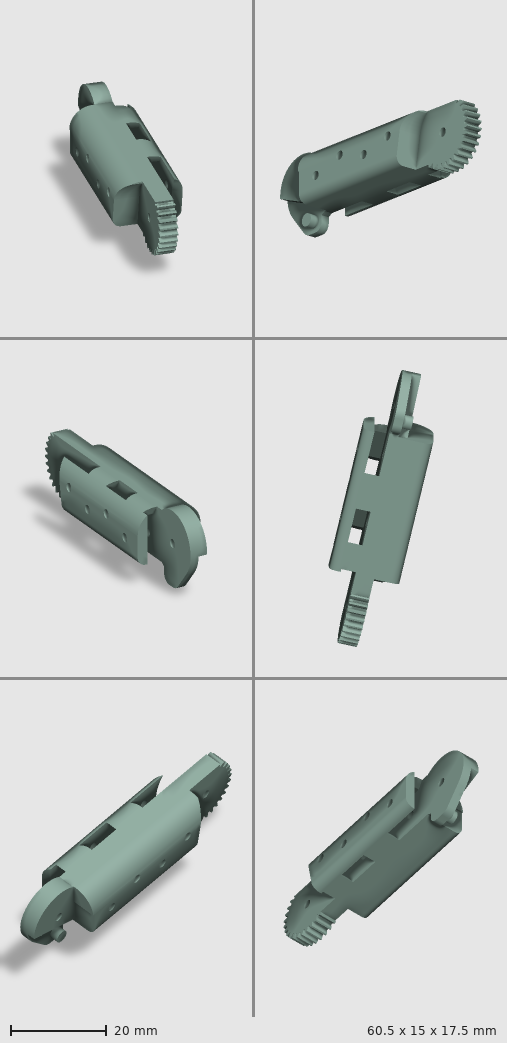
import cadquery as cq
import math


END_RADIUS = 7.5
PIVOT_SPACING = 45.0
PLATE_THICKNESS = 4.0
BAR_HEIGHT = 12.0
HOLE_DIAMETER = 2.0

GEAR_TEETH = 30
GEAR_TIP_RADIUS = 8.0
GEAR_PITCH_RADIUS = 7.5
GEAR_ROOT_RADIUS = 6.9
TOOTH_SINK = 0.25
FIRST_TOOTH_ANGLE = -123.7
SECTOR_TEETH = 16
TIP_HALF_ANGLE = 1.3
PITCH_HALF_ANGLE = 2.9
ROOT_HALF_ANGLE = 4.2

HOUSING_WIDTH = 15.0
TOP_ROUND = 5.0
BOTTOM_ROUND = 2.0
HOUSING_START = 5.0
UPPER_START = 4.65
END_CLEARANCE = 7.5
END_SETBACK = 5.0
END_TILT = 10

OUTER_WALL = 2.35
BRIDGE_HEIGHT = 2.0
BRIDGE_LENGTH = 8.0
BRIDGE_FLANK_TILT = 30
LAST_BRIDGE_END = 35.7
FIRST_GUIDE_X = 10.4
GUIDE_PITCH = 7.75
GUIDE_HEIGHTS = [-1.45, 0.95, -1.0, 0.95]

LUG_BOTTOM = -10.0
LUG_RIGHT = 3.5
LUG_SLOPE = 50
LUG_SLOPE_ROUND = 2.5
LUG_RIGHT_ROUND = 2.0
STEP_OFFSET = 3
STEP_TILT = 20
PIN_X = 0.95
PIN_Z = -7.45
PIN_RADIUS = 1.45

bar_half = BAR_HEIGHT / 2
plate_half = PLATE_THICKNESS / 2
housing_half = HOUSING_WIDTH / 2
channel_outer = housing_half - OUTER_WALL
channel_half_height = bar_half - BRIDGE_HEIGHT
guide_centers = [(FIRST_GUIDE_X + i * GUIDE_PITCH, z) for i, z in enumerate(GUIDE_HEIGHTS)]


def polar(radius, degrees):
    angle = math.radians(degrees)
    return radius * math.cos(angle), radius * math.sin(angle)


def extrude_y(outline, y_low, y_high):
    """Extrude an XZ outline from y_low to y_high."""
    return outline.extrude(y_low - y_high).translate((0, y_low, 0))


def cylinder(x, z, radius, y_low, y_high):
    return extrude_y(cq.Workplane("XZ").center(x, z).circle(radius), y_low, y_high)


def prism(points, y_low, y_high):
    return extrude_y(cq.Workplane("XZ").polyline(points).close(), y_low, y_high)


def box(x_range, y_range, z_range):
    """Box given by its (low, high) limits on each axis."""
    low, high = zip(x_range, y_range, z_range)
    size = [b - a for a, b in zip(low, high)]
    return cq.Workplane("XY").box(*size, centered=False).translate(low)


def bar():
    middle = box((0, PIVOT_SPACING), (-plate_half, plate_half), (-bar_half, bar_half))
    return middle.union(cylinder(0, 0, END_RADIUS, -plate_half, plate_half))


def gear_sector():
    """Toothed disc, cut level with the top of the bar."""
    gear = cylinder(0, 0, GEAR_ROOT_RADIUS, -plate_half, plate_half)
    flank = [
        (GEAR_ROOT_RADIUS - TOOTH_SINK, ROOT_HALF_ANGLE),
        (GEAR_ROOT_RADIUS, ROOT_HALF_ANGLE),
        (GEAR_PITCH_RADIUS, PITCH_HALF_ANGLE),
        (GEAR_TIP_RADIUS, TIP_HALF_ANGLE),
    ]
    for i in range(SECTOR_TEETH):
        angle = FIRST_TOOTH_ANGLE + i * 360 / GEAR_TEETH
        lower = [polar(radius, angle - half) for radius, half in flank]
        upper = [polar(radius, angle + half) for radius, half in reversed(flank)]
        gear = gear.union(prism(lower + upper, -plate_half, plate_half))
    reach = (-GEAR_TIP_RADIUS, GEAR_TIP_RADIUS)
    above_bar = box(reach, reach, (bar_half, GEAR_TIP_RADIUS))
    return gear.cut(above_bar).translate((PIVOT_SPACING, 0, 0))


def lug():
    """Arm below the rounded end; its sloping side is tangent to the end radius."""
    tangent_x, tangent_z = polar(END_RADIUS, 270 - LUG_SLOPE)
    corner_x = tangent_x + (tangent_z - LUG_BOTTOM) / math.tan(math.radians(LUG_SLOPE))
    outline = [
        (0, 0),
        (tangent_x, tangent_z),
        (corner_x, LUG_BOTTOM),
        (LUG_RIGHT, LUG_BOTTOM),
        (LUG_RIGHT, 0),
    ]
    arm = prism(outline, -plate_half, plate_half)
    for x, radius in [(corner_x, LUG_SLOPE_ROUND), (LUG_RIGHT, LUG_RIGHT_ROUND)]:
        corner = cq.selectors.NearestToPointSelector((x, 0, LUG_BOTTOM))
        arm = arm.edges(corner).fillet(radius)
    return arm


def lug_step():
    """Material removed from the -Y half of the rounded end and lug, below a tilted line."""
    tilt = math.radians(STEP_TILT)

    def step_z(x):
        return -STEP_OFFSET / math.cos(tilt) - x * math.tan(tilt)

    left = -2 * END_RADIUS
    below = 2 * LUG_BOTTOM
    outline = [
        (left, step_z(left)),
        (HOUSING_START, step_z(HOUSING_START)),
        (HOUSING_START, below),
        (left, below),
    ]
    return prism(outline, -plate_half, 0)


def housing_blank():
    """Rounded housing, swept back at the gear end to clear a disc on the second pivot."""
    length = (UPPER_START, PIVOT_SPACING)
    blank = box(length, (-housing_half, housing_half), (-bar_half, bar_half))
    blank = blank.edges("|X and >Z").fillet(TOP_ROUND)
    blank = blank.edges("|X and <Z").fillet(BOTTOM_ROUND)

    start_trim = (UPPER_START, HOUSING_START)
    lower_trim = box(start_trim, (-housing_half, 0), (-bar_half, bar_half - TOP_ROUND))
    back_trim = box(start_trim, (0, housing_half), (-bar_half, bar_half))

    arc_top_x = -END_SETBACK
    arc_top_z = math.sqrt(END_CLEARANCE**2 - END_SETBACK**2)
    arc_top_angle = math.degrees(math.acos(arc_top_x / END_CLEARANCE))
    arc_middle = polar(END_CLEARANCE, (arc_top_angle + 180 - END_TILT) / 2)
    tangent_x, tangent_z = polar(END_CLEARANCE, 180 - END_TILT)
    foot_x = tangent_x - (tangent_z + bar_half) * math.tan(math.radians(END_TILT))
    end_outline = (
        cq.Workplane("XZ")
        .moveTo(arc_top_x, bar_half)
        .lineTo(arc_top_x, arc_top_z)
        .threePointArc(arc_middle, (tangent_x, tangent_z))
        .lineTo(foot_x, -bar_half)
        .lineTo(0, -bar_half)
        .lineTo(0, bar_half)
        .close()
    )
    end_trim = extrude_y(end_outline, -housing_half, housing_half).translate((PIVOT_SPACING, 0, 0))
    return blank.cut(lower_trim).cut(back_trim).cut(end_trim)


def bridges():
    """Trapezoidal bridges over the channel, widest at the outside, one per guide hole."""
    outer_half = BRIDGE_LENGTH / 2
    inner_half = outer_half - BRIDGE_HEIGHT * math.tan(math.radians(BRIDGE_FLANK_TILT))
    all_bridges = cq.Workplane("XY")
    for i, (x, _) in enumerate(guide_centers):
        side = 1 if i % 2 == 0 else -1
        outline = [
            (x - outer_half, side * bar_half),
            (x + outer_half, side * bar_half),
            (x + inner_half, side * channel_half_height),
            (x - inner_half, side * channel_half_height),
        ]
        all_bridges = all_bridges.union(prism(outline, plate_half, channel_outer))
    limit = box((0, LAST_BRIDGE_END), (plate_half, channel_outer), (-bar_half, bar_half))
    return all_bridges.intersect(limit)


def housing():
    blank = housing_blank()
    channel = box((0, PIVOT_SPACING), (plate_half, channel_outer), (-bar_half, bar_half))
    return blank.cut(channel.cut(bridges()))


def through_holes():
    holes = cq.Workplane("XY")
    for x, z in [(0, 0), (PIVOT_SPACING, 0)] + guide_centers:
        holes = holes.union(cylinder(x, z, HOLE_DIAMETER / 2, -housing_half, housing_half))
    return holes


pin = cylinder(PIN_X, PIN_Z, PIN_RADIUS, -plate_half, 0)
rounded_end = bar().union(lug()).cut(lug_step()).union(pin)
result = rounded_end.union(gear_sector()).union(housing()).cut(through_holes())